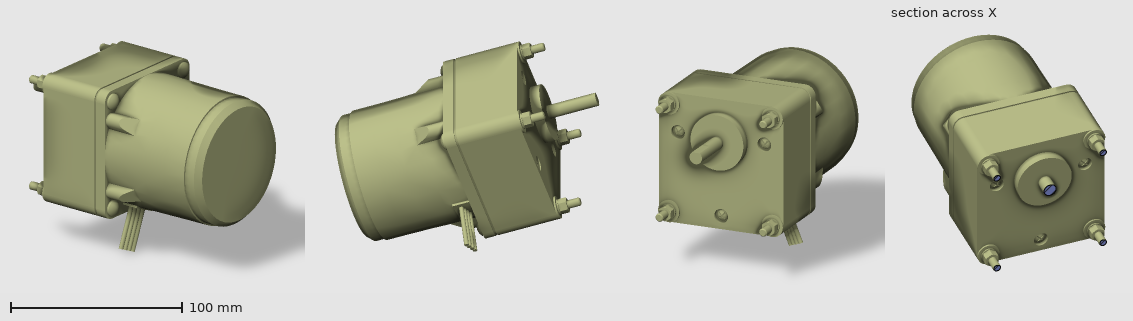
import cadquery as cq
import math


BOSS_FRONT = 30.0
FACE = 36.0
GEARBOX_BACK = 73.8
FLANGE_FRONT = 75.2
FLANGE_BACK = 81.6
CONE_END = 139.8
CAP_CHAMFER_START = 146.4
LENGTH = 150.0

HOUSING_SIZE = 80.0
CORNER_RADIUS = 6.8
SEAM_INSET = 0.8
BOLT_OFFSET = HOUSING_SIZE / 2 - CORNER_RADIUS

MOTOR_FRONT_RADIUS = 39.9
MOTOR_REAR_RADIUS = 39.2
CAP_RADIUS = 38.1
CAP_END_RADIUS = 34.8

SHAFT_Z = 15.0
SHAFT_DIAMETER = 8.0
SHAFT_RADIUS = SHAFT_DIAMETER / 2
FLAT_LENGTH = 13.6
FLAT_DEPTH = 0.9
BOSS_RADIUS = 17.0

STUD_DIAMETER = 5.0
STUD_TIP = 21.3
STUD_CHAMFER = 0.6
NUT_FRONT = 29.1
NUT_ACROSS_FLATS = 8.0
NUT_ACROSS_CORNERS = NUT_ACROSS_FLATS / math.cos(math.radians(30))
SPRING_WASHER_RADIUS = 4.6
SPRING_WASHER_THICKNESS = 0.9
WASHER_THICKNESS = 1.0
NUT_CHAMFER = 0.5
BOLT_HEAD_RADIUS = 4.8
BOLT_HEAD_RIM = 1.4
BOLT_HEAD_HEIGHT = 3.5

SCREW_CIRCLE_RADIUS = 32.0
SCREW_ANGLES = (30, 150, 270)
RECESS_RADIUS = 4.4
RECESS_DEPTH = 2.4
SCREW_HEAD_RADIUS = 3.3
SCREW_RIM_HEIGHT = 0.5
SCREW_HEAD_HEIGHT = 1.8
CROSS_LENGTH = 5.4
CROSS_WIDTH = 0.8
CROSS_DEPTH = 1.0

RIB_ANGLE = 32.5
RIB_OUTER_RADIUS = 45.5
RIB_ROOT_RADIUS = 36.0
RIB_NOSE_RADIUS = 4.2
RIB_TAPER = 20.0
RIB_NOSE_END = 91.0
RIB_ROOT_END = 100.8
RIB_END_RADIUS = 39.3

CABLE_ANGLE = 22.5
OUTLET_END = 91.8
OUTLET_WIDTH = 16.4
OUTLET_RADIUS = 40.4
OUTLET_ROOT_RADIUS = 33.0
WIRE_COUNT = 4
WIRE_RADIUS = 1.4
WIRE_PITCH = 2 * WIRE_RADIUS
WIRE_STEP = 0.9
FIRST_WIRE_X = 87.6
WIRE_END_RADIUS = 66.0


def cylinder_x(start, end, radius, y=0, z=0):
    """Cylinder parallel to X."""
    return cq.Workplane("YZ", origin=(start, y, z)).circle(radius).extrude(end - start)


def rounded_block(start, end, size, corner):
    """Square block centred on X with its four long edges rounded."""
    block = cq.Workplane("YZ", origin=(start, 0, 0)).rect(size, size).extrude(end - start)
    return block.edges("|X").fillet(corner)


def domed_head(base, direction, radius, rim, height):
    """Screw head on the X axis, standing on X = base and pointing along direction (+1 or -1)."""
    outline = (
        cq.Workplane("XY")
        .moveTo(base, 0)
        .lineTo(base, radius)
        .lineTo(base + direction * rim, radius)
    )
    rise = height - rim
    dome_radius = (radius**2 + rise**2) / (2 * rise)
    half_angle = math.asin(radius / dome_radius) / 2
    middle = (
        base + direction * (height - dome_radius * (1 - math.cos(half_angle))),
        dome_radius * math.sin(half_angle),
    )
    outline = outline.threePointArc(middle, (base + direction * height, 0)).close()
    return outline.revolve(360, (0, 0, 0), (1, 0, 0))


def housing():
    gearbox = rounded_block(FACE, GEARBOX_BACK, HOUSING_SIZE, CORNER_RADIUS)
    seam = rounded_block(
        GEARBOX_BACK, FLANGE_FRONT, HOUSING_SIZE - 2 * SEAM_INSET, CORNER_RADIUS - SEAM_INSET
    )
    flange = rounded_block(FLANGE_FRONT, FLANGE_BACK, HOUSING_SIZE, CORNER_RADIUS)
    return gearbox.union(seam).union(flange)


def motor_body():
    outline = [
        (FLANGE_BACK, 0),
        (FLANGE_BACK, MOTOR_FRONT_RADIUS),
        (CONE_END, MOTOR_REAR_RADIUS),
        (CONE_END, CAP_RADIUS),
        (CAP_CHAMFER_START, CAP_RADIUS),
        (LENGTH, CAP_END_RADIUS),
        (LENGTH, 0),
    ]
    return cq.Workplane("XY").polyline(outline).close().revolve(360, (0, 0, 0), (1, 0, 0))


def output_shaft():
    boss = cylinder_x(BOSS_FRONT, FACE, BOSS_RADIUS, z=SHAFT_Z)
    shaft = cylinder_x(0, BOSS_FRONT, SHAFT_RADIUS, z=SHAFT_Z)
    flat_z = SHAFT_Z + SHAFT_RADIUS - FLAT_DEPTH
    flat = cq.Workplane("XY").box(
        FLAT_LENGTH, 2 * SHAFT_RADIUS, 2 * FLAT_DEPTH, centered=(False, True, False)
    )
    return boss.union(shaft.cut(flat.translate((0, 0, flat_z))))


def bolt():
    """Parts of a bolt on the X axis: stud, nut, spring washer, flat washer and rear head."""
    washer_front = FACE - WASHER_THICKNESS
    nut_back = washer_front - SPRING_WASHER_THICKNESS
    stud = cylinder_x(STUD_TIP, NUT_FRONT, STUD_DIAMETER / 2).faces("<X").chamfer(STUD_CHAMFER)
    nut = (
        cq.Workplane("YZ", origin=(NUT_FRONT, 0, 0))
        .transformed(rotate=(0, 0, 90))
        .polygon(6, NUT_ACROSS_CORNERS)
        .extrude(nut_back - NUT_FRONT)
    )
    trim = cylinder_x(NUT_FRONT, nut_back, NUT_ACROSS_CORNERS / 2)
    nut = nut.intersect(trim.faces("<X or >X").chamfer(NUT_CHAMFER))
    spring_washer = cylinder_x(nut_back, washer_front, SPRING_WASHER_RADIUS)
    washer = cylinder_x(washer_front, FACE, CORNER_RADIUS)
    head = domed_head(FLANGE_BACK, 1, BOLT_HEAD_RADIUS, BOLT_HEAD_RIM, BOLT_HEAD_HEIGHT)
    return [stud, nut, spring_washer, washer, head]


def cross_screw():
    """Domed screw head on the X axis with a diagonal cross, seated at the recess floor."""
    floor = FACE + RECESS_DEPTH
    head = domed_head(floor, -1, SCREW_HEAD_RADIUS, SCREW_RIM_HEIGHT, SCREW_HEAD_HEIGHT)
    crown = floor - SCREW_HEAD_HEIGHT
    for angle in (45, 135):
        slot = cq.Workplane("XY").box(2 * CROSS_DEPTH, CROSS_LENGTH, CROSS_WIDTH)
        slot = slot.rotate((0, 0, 0), (1, 0, 0), angle)
        head = head.cut(slot.translate((crown, 0, 0)))
    return head


def rib():
    """Tapered round-nosed rib lying along +Y, with its rear end sloping into the motor."""
    taper = math.radians(RIB_TAPER)
    nose_centre = RIB_OUTER_RADIUS - RIB_NOSE_RADIUS
    tangent_y = nose_centre + RIB_NOSE_RADIUS * math.sin(taper)
    tangent_z = RIB_NOSE_RADIUS * math.cos(taper)
    root_z = tangent_z + (tangent_y - RIB_ROOT_RADIUS) * math.tan(taper)
    blank = (
        cq.Workplane("YZ", origin=(FLANGE_BACK, 0, 0))
        .moveTo(RIB_ROOT_RADIUS, -root_z)
        .lineTo(tangent_y, -tangent_z)
        .threePointArc((RIB_OUTER_RADIUS, 0), (tangent_y, tangent_z))
        .lineTo(RIB_ROOT_RADIUS, root_z)
        .close()
        .extrude(RIB_ROOT_END - FLANGE_BACK)
    )
    side = [
        (FLANGE_BACK, RIB_ROOT_RADIUS),
        (FLANGE_BACK, RIB_OUTER_RADIUS),
        (RIB_NOSE_END, RIB_OUTER_RADIUS),
        (RIB_ROOT_END, RIB_END_RADIUS),
        (RIB_ROOT_END, RIB_ROOT_RADIUS),
    ]
    envelope = cq.Workplane("XY").polyline(side).close().extrude(root_z, both=True)
    return blank.intersect(envelope)


def cable_outlet():
    """Outlet block and its row of wires, built pointing along -Z and then leaned over."""
    block = cq.Workplane("XY").box(
        OUTLET_END - FLANGE_BACK,
        OUTLET_WIDTH,
        OUTLET_RADIUS - OUTLET_ROOT_RADIUS,
        centered=(False, True, False),
    )
    outlet = block.translate((FLANGE_BACK, 0, -OUTLET_RADIUS))
    for i in range(WIRE_COUNT):
        y = ((WIRE_COUNT - 1) / 2 - i) * WIRE_PITCH
        x = FIRST_WIRE_X - i * WIRE_STEP
        wire = (
            cq.Workplane("XY", origin=(x, y, -WIRE_END_RADIUS))
            .circle(WIRE_RADIUS)
            .extrude(WIRE_END_RADIUS - OUTLET_RADIUS)
        )
        outlet = outlet.union(wire)
    return outlet.rotate((0, 0, 0), (1, 0, 0), -CABLE_ANGLE)


result = housing().union(motor_body()).union(output_shaft())

for angle in SCREW_ANGLES:
    screw_y = SCREW_CIRCLE_RADIUS * math.cos(math.radians(angle))
    screw_z = SCREW_CIRCLE_RADIUS * math.sin(math.radians(angle))
    result = result.cut(cylinder_x(FACE, FACE + RECESS_DEPTH, RECESS_RADIUS, screw_y, screw_z))
    result = result.union(cross_screw().translate((0, screw_y, screw_z)))

for y_side in (-1, 1):
    for z_side in (-1, 1):
        bolt_place = (0, y_side * BOLT_OFFSET, z_side * BOLT_OFFSET)
        for piece in bolt():
            result = result.union(piece.translate(bolt_place))

for angle in (RIB_ANGLE, 180 - RIB_ANGLE, 180 + RIB_ANGLE, -RIB_ANGLE):
    result = result.union(rib().rotate((0, 0, 0), (1, 0, 0), angle))

result = result.union(cable_outlet())